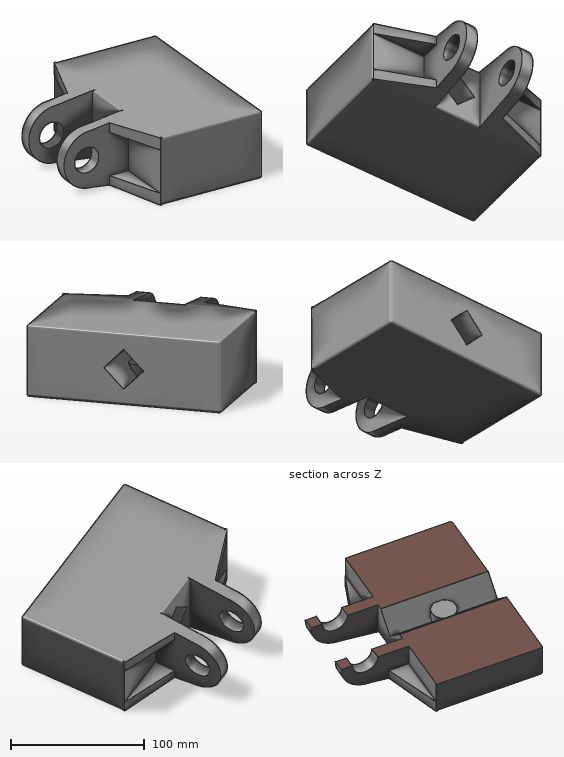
import cadquery as cq

body_width = 152.5
body_depth = 90.0
body_height = 56.0
edge_radius = 2.0

total_depth = 146.0
lug_gap = 40.3
lug_thickness = 9.9
lug_end_radius = 23.8
lug_hole_diameter = 21.0
lug_hole_wall = 9.5
lug_outer_x = lug_gap / 2 + lug_thickness
lug_tip_y = body_depth - total_depth
lug_arc_y = lug_tip_y + lug_end_radius
lug_hole_y = lug_tip_y + lug_hole_wall + lug_hole_diameter / 2

gusset_reach = 16.0
recess_height = 36.0
recess_floor_y = 0.6
gusset_root_y = 0.5

diamond_width = 30.8
post_diameter = 20.0
post_top_z = -6.3


def make_body():
    body = cq.Workplane("XY").box(body_width, body_depth, body_height)
    return body.edges().fillet(edge_radius).translate((0, body_depth / 2, 0))


def make_lug_profile():
    """Side outline shared by lugs and gussets, extruded across the full width."""
    root_z = body_height / 2
    return (
        cq.Workplane("YZ", origin=(-body_width / 2, 0, 0))
        .moveTo(edge_radius, root_z)
        .lineTo(0, root_z)
        .lineTo(lug_arc_y, lug_end_radius)
        .threePointArc((lug_tip_y, 0), (lug_arc_y, -lug_end_radius))
        .lineTo(0, -root_z)
        .lineTo(edge_radius, -root_z)
        .close()
        .extrude(body_width)
    )


def make_lug(side):
    """Lug with its two gussets; side is -1 or +1 along X."""
    inner_x = side * lug_gap / 2
    outer_x = side * lug_outer_x
    root_x = side * (body_width / 2 - gusset_root_y)
    plan = (
        cq.Workplane("XY")
        .polyline([
            (inner_x, edge_radius),
            (inner_x, lug_tip_y),
            (outer_x, lug_tip_y),
            (outer_x, -gusset_reach),
            (root_x, gusset_root_y),
            (root_x, edge_radius),
        ])
        .close()
        .extrude(body_height / 2, both=True)
    )
    return plan.intersect(make_lug_profile())


def make_recess(side):
    """Pocket between the two gussets, open to the outer side and the front."""
    recess_length = body_width / 2
    recess_centre_x = side * (lug_outer_x + recess_length / 2)
    return cq.Workplane("XY").box(recess_length, total_depth, recess_height).translate(
        (recess_centre_x, recess_floor_y - total_depth / 2, 0)
    )


def make_pin_hole():
    return (
        cq.Workplane("YZ", origin=(-body_width / 2, 0, 0))
        .center(lug_hole_y, 0)
        .circle(lug_hole_diameter / 2)
        .extrude(body_width)
    )


def make_diamond_passage():
    half = diamond_width / 2
    return (
        cq.Workplane("XZ")
        .polyline([(half, 0), (0, half), (-half, 0), (0, -half)])
        .close()
        .extrude(-body_depth)
    )


def make_post():
    post_bottom_z = -diamond_width / 2 - edge_radius
    return (
        cq.Workplane("XY", origin=(0, body_depth / 2, post_bottom_z))
        .circle(post_diameter / 2)
        .extrude(post_top_z - post_bottom_z)
    )


result = make_body()
for lug_side in (-1, 1):
    result = result.union(make_lug(lug_side)).cut(make_recess(lug_side))
result = result.cut(make_pin_hole()).cut(make_diamond_passage()).union(make_post())